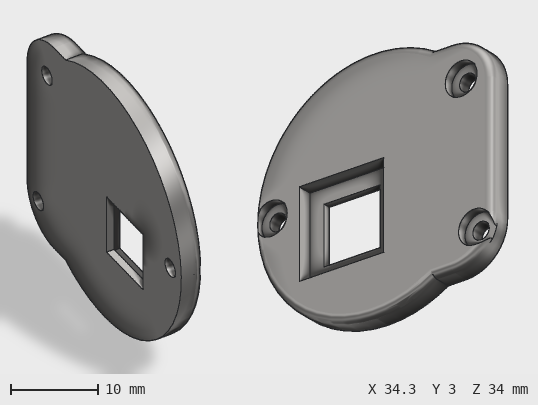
import cadquery as cq
import math

length = 34.25
thickness = 3.0
edge_round = 1.0

disc_radius = 17.005
disc_x = length / 2 - disc_radius

left_x = -length / 2
tab_half_height = 14.62
corner_radius = 6.0

hole_diameter = 2.33
recess_diameter = 4.6
recess_depth = 1.25
hole_centers = [(-12.7, 9.52), (-14.62, -10.1), (14.65, 0)]

window_size = 8.05
window_wall = 1.0
pocket_margin = 2.05
pocket_size = window_size + 2 * pocket_margin
window_center = (4.55, -3.25)


def from_front():
    """Sketch plane on the front face: local x, y are X, Z; negative extrusions go toward +Y."""
    return cq.Workplane("XZ")


def make_plate():
    shoulder_x = disc_x - math.sqrt(disc_radius**2 - tab_half_height**2)
    corner_x = left_x + corner_radius
    corner_z = tab_half_height - corner_radius
    corner_reach = corner_radius * math.sqrt(0.5)
    mid_x = corner_x - corner_reach
    mid_z = corner_z + corner_reach
    lean = math.acos(tab_half_height / disc_radius) / 2
    arc_x = disc_x - disc_radius * math.sin(lean)
    arc_z = disc_radius * math.cos(lean)
    plate = (
        from_front()
        .moveTo(shoulder_x, tab_half_height)
        .threePointArc((arc_x, arc_z), (disc_x, disc_radius))
        .threePointArc((disc_x + disc_radius, 0), (disc_x, -disc_radius))
        .threePointArc((arc_x, -arc_z), (shoulder_x, -tab_half_height))
        .lineTo(corner_x, -tab_half_height)
        .threePointArc((mid_x, -mid_z), (left_x, -corner_z))
        .lineTo(left_x, corner_z)
        .threePointArc((mid_x, mid_z), (corner_x, tab_half_height))
        .close()
        .extrude(-thickness)
    )
    return plate.faces(">Y").edges().fillet(edge_round)


def make_screw_cuts():
    holes = from_front().pushPoints(hole_centers).circle(hole_diameter / 2).extrude(-thickness)
    recesses = (
        from_front()
        .workplane(offset=recess_depth - thickness)
        .pushPoints(hole_centers)
        .circle(recess_diameter / 2)
        .extrude(-recess_depth)
    )
    return holes.union(recesses)


def make_window():
    opening = from_front().center(*window_center).rect(window_size, window_size).extrude(-thickness)
    pocket = (
        from_front()
        .workplane(offset=-window_wall)
        .center(*window_center)
        .rect(pocket_size, pocket_size)
        .extrude(window_wall - thickness)
    )
    return opening.union(pocket)


result = make_plate().cut(make_screw_cuts()).cut(make_window())